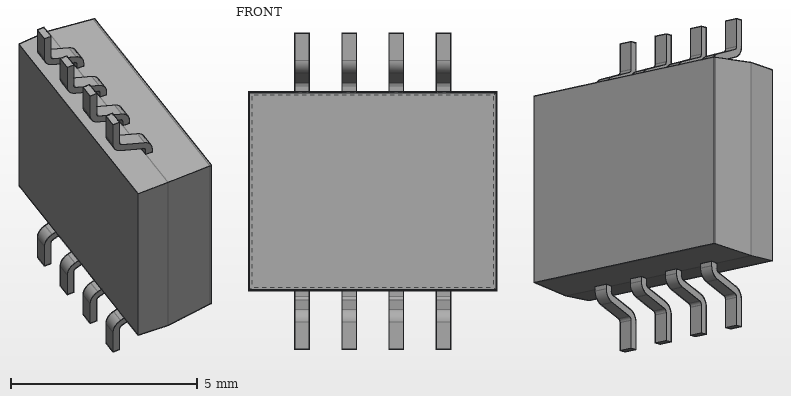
import cadquery as cq
import math


body_length = 6.68
body_height = 5.355
front_y = 0.1
parting_y = 1.0
cap_y = 2.35
back_y = 2.4
front_draft = 2.0
back_draft = 4.0

leads_per_side = 4
lead_pitch = 1.27
lead_width = 0.4
lead_thickness = 0.2
lead_span = 8.5
foot_length = 0.74
slope_angle = 20.0
inner_bend_radius = 0.1
outer_bend_radius = 0.36
embed_depth = 0.425

lead_turn = math.radians(90 - slope_angle)


def tapered_block(start_y, length, draft):
    """Block growing from the plane Y = start_y, shrinking by the draft angle; negative length runs to -Y."""
    plane = cq.Plane(origin=(0, start_y, 0), xDir=(1, 0, 0), normal=(0, math.copysign(1, length), 0))
    return cq.Workplane(plane).rect(body_length, body_height).extrude(abs(length), taper=draft)


def make_body():
    front_half = tapered_block(parting_y, front_y - parting_y, front_draft)
    back_half = tapered_block(parting_y, cap_y - parting_y, back_draft)
    cap = back_half.faces(">Y").wires().toPending().workplane().extrude(back_y - cap_y)
    return front_half.union(back_half).union(cap)


def make_upper_lead():
    """Lead centred on X = 0 that leaves the top of the body, as a bent strip in the YZ plane."""
    miter = lead_thickness * math.tan(lead_turn / 2)
    neck_back_y = parting_y + lead_thickness
    rise = parting_y * math.tan(math.radians(slope_angle))
    tip_z = lead_span / 2
    foot_outer_z = tip_z - foot_length - outer_bend_radius * math.tan(lead_turn / 2)
    foot_inner_z = foot_outer_z + miter
    neck_back_z = foot_inner_z - rise
    neck_front_z = foot_outer_z - rise
    root_z = body_height / 2 - embed_depth

    strip = (
        cq.Workplane("YZ")
        .moveTo(parting_y, root_z)
        .lineTo(parting_y, neck_front_z)
        .lineTo(0, foot_outer_z)
        .lineTo(0, tip_z)
        .lineTo(lead_thickness, tip_z)
        .lineTo(lead_thickness, foot_inner_z)
        .lineTo(neck_back_y, neck_back_z)
        .lineTo(neck_back_y, root_z)
        .close()
        .extrude(lead_width / 2, both=True)
    )
    inner_corners = [(parting_y, neck_front_z), (lead_thickness, foot_inner_z)]
    outer_corners = [(neck_back_y, neck_back_z), (0, foot_outer_z)]
    for corners, radius in ((inner_corners, inner_bend_radius), (outer_corners, outer_bend_radius)):
        for y, z in corners:
            strip = strip.edges(cq.NearestToPointSelector((0, y, z))).fillet(radius)
    return strip


result = make_body()
upper_lead = make_upper_lead()
lower_lead = upper_lead.mirror("XY")
for index in range(leads_per_side):
    lead_x = (index - (leads_per_side - 1) / 2) * lead_pitch
    for lead in (upper_lead, lower_lead):
        result = result.union(lead.translate((lead_x, 0, 0)))